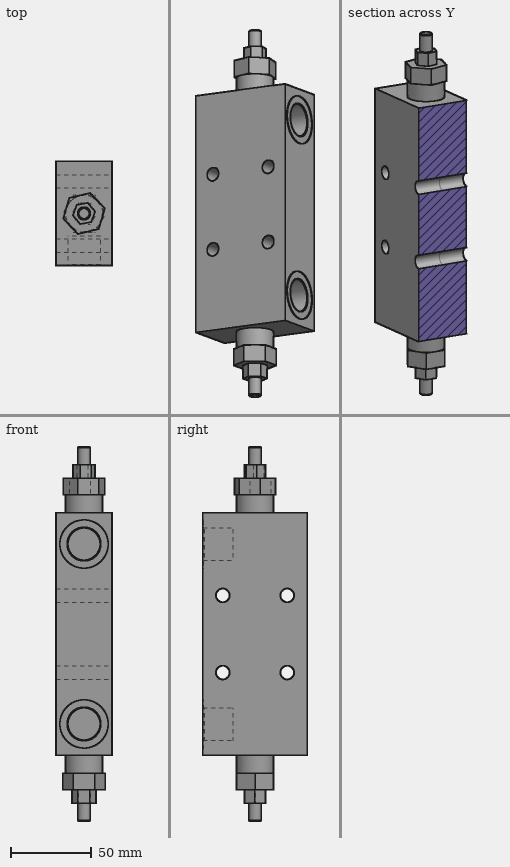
import cadquery as cq
import math

BLOCK_X = 35.0
BLOCK_Y = 65.0
TOTAL_Z = 233.0
VALVE_LENGTH = 41.0
BLOCK_Z = TOTAL_Z - 2 * VALVE_LENGTH
EDGE_BREAK = 0.2

PORT_DIAMETER = 20.0
PORT_CHAMFER = 0.5
PORT_DEPTH = 18.6
SPOTFACE_DIAMETER = 30.0
SPOTFACE_DEPTH = 0.5
PORT_END_DISTANCE = 19.5

MOUNT_DIAMETER = 8.5
MOUNT_SPACING_Y = 40.0
MOUNT_SPACING_Z = 48.0

COLLAR_DIAMETER = 23.0
COLLAR_LENGTH = 11.0
BODY_HEX_FLATS = 23.0
BODY_HEX_LENGTH = 10.5
LOCKNUT_LENGTH = 8.5
STEM_DIAMETER = 8.0
STEM_LENGTH = VALVE_LENGTH - COLLAR_LENGTH - BODY_HEX_LENGTH - LOCKNUT_LENGTH
STEM_CHAMFER = 0.7

UPPER_BODY_HEX_ANGLE = 13.5
UPPER_LOCKNUT_ANGLE = 10.0
UPPER_LOCKNUT_FLATS = 12.0
LOWER_BODY_HEX_ANGLE = 0.0
LOWER_LOCKNUT_ANGLE = -2.0
LOWER_LOCKNUT_FLATS = 13.0


def hexagon(flats, length, angle):
    """Hexagonal prism on the XY plane, sized across its flats."""
    corner_diameter = flats / math.cos(math.pi / 6)
    prism = cq.Workplane("XY").polygon(6, corner_diameter).extrude(length)
    return prism.rotate((0, 0, 0), (0, 0, 1), angle)


def valve(body_hex_angle, locknut_flats, locknut_angle):
    """Collar, body hexagon, lock nut and stem stacked up from the XY plane."""
    collar = cq.Workplane("XY").circle(COLLAR_DIAMETER / 2).extrude(COLLAR_LENGTH)
    body_hex = hexagon(BODY_HEX_FLATS, BODY_HEX_LENGTH, body_hex_angle)
    locknut = hexagon(locknut_flats, LOCKNUT_LENGTH, locknut_angle)
    stem = cq.Workplane("XY").circle(STEM_DIAMETER / 2).extrude(STEM_LENGTH)
    stem = stem.faces(">Z").chamfer(STEM_CHAMFER)

    locknut_base = COLLAR_LENGTH + BODY_HEX_LENGTH
    stem_base = locknut_base + LOCKNUT_LENGTH
    stack = collar.union(body_hex.translate((0, 0, COLLAR_LENGTH)))
    stack = stack.union(locknut.translate((0, 0, locknut_base)))
    return stack.union(stem.translate((0, 0, stem_base)))


def port_cutter():
    """Spotface, mouth chamfer and blind bore, revolved about +Y from the -Y face."""
    bore_radius = PORT_DIAMETER / 2
    spotface_radius = SPOTFACE_DIAMETER / 2
    front = -BLOCK_Y / 2
    seat = front + SPOTFACE_DEPTH
    profile = (
        cq.Workplane("XY")
        .moveTo(0, front)
        .lineTo(spotface_radius, front)
        .lineTo(spotface_radius, seat)
        .lineTo(bore_radius + PORT_CHAMFER, seat)
        .lineTo(bore_radius, seat + PORT_CHAMFER)
        .lineTo(bore_radius, front + PORT_DEPTH)
        .lineTo(0, front + PORT_DEPTH)
        .close()
    )
    return profile.revolve(360, (0, 0, 0), (0, 1, 0))


block = cq.Workplane("XY").box(BLOCK_X, BLOCK_Y, BLOCK_Z)
block = block.faces(">Z").edges("<Y").chamfer(EDGE_BREAK)
mount_holes = (
    cq.Workplane("YZ")
    .rarray(MOUNT_SPACING_Y, MOUNT_SPACING_Z, 2, 2)
    .circle(MOUNT_DIAMETER / 2)
    .extrude(BLOCK_X / 2, both=True)
)
block = block.cut(mount_holes)

port_z = BLOCK_Z / 2 - PORT_END_DISTANCE
for z in (-port_z, port_z):
    block = block.cut(port_cutter().translate((0, 0, z)))

upper_valve = valve(UPPER_BODY_HEX_ANGLE, UPPER_LOCKNUT_FLATS, UPPER_LOCKNUT_ANGLE)
lower_valve = valve(LOWER_BODY_HEX_ANGLE, LOWER_LOCKNUT_FLATS, LOWER_LOCKNUT_ANGLE).mirror("XY")

result = (
    block
    .union(upper_valve.translate((0, 0, BLOCK_Z / 2)))
    .union(lower_valve.translate((0, 0, -BLOCK_Z / 2)))
)